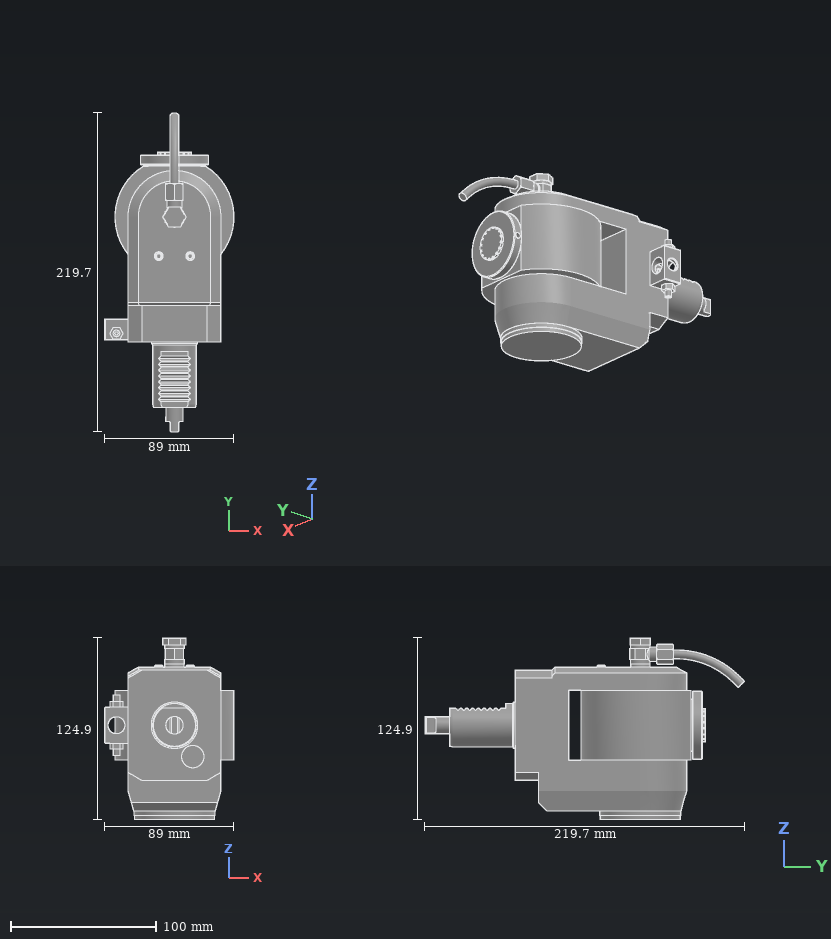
import cadquery as cq
import math


HALF_WIDTH = 32.0
SWIVEL_Y = 86.1
TOP_Z = 40.0
BOTTOM_Z = -59.0
TOP_CHAMFER_WIDTH = 7.1
TOP_CHAMFER_HEIGHT = 4.0
TAPER_Z = -45.3
TAPER_INSET = 3.9
FRONT_BOTTOM_CHAMFER = 5.8

FLANGE_HALF_HEIGHT = 38.0
FLANGE_CORNER_WIDTH = 9.6
FLANGE_CORNER_HEIGHT = 5.6
FLANGE_TOP_LENGTH = 25.3
FLANGE_STEP = 2.0
FLANGE_BOTTOM_LENGTH = 16.0
PLUG_X = 12.6
PLUG_Z = -21.6
PLUG_RADIUS = 7.7
PLUG_RECESS = 0.3

DRUM_RADIUS = 41.0
SLOT_HALF_HEIGHT = 24.0
SLOT_FRONT_Y = 37.0
DRUM_FLAT_Y = 121.1

NUT_NECK_RADIUS = 18.0
NUT_RADIUS = 23.5
NUT_FRONT_Y = 121.9
NUT_BACK_Y = 128.9
NUT_CHAMFER = 0.6
SPANNER_HOLE_Y = 125.6
SPANNER_HOLE_DIAMETER = 4.0
SPANNER_HOLE_DEPTH = 4.0
SPINDLE_RADIUS = 11.6
SPINDLE_BACK_Y = 130.8
SPINDLE_SLOT_COUNT = 16
SPINDLE_SLOT_WIDTH = 1.0

RING_RADIUS = 28.0
RING_STEP_Z = -62.0
RING_BOTTOM_Z = -65.0
RING_STEP = 0.4

COLLAR_RADIUS = 16.0
COLLAR_LENGTH = 1.8
COLLAR_CHAMFER = 0.8
SHANK_RADIUS = 15.0
SHANK_LENGTH = 45.0
SHANK_END_CHAMFER_LENGTH = 2.0
SHANK_END_CHAMFER_DEPTH = 0.5
FLAT_Z = 11.8
FLAT_START = 6.6
GROOVE_COUNT = 8
GROOVE_PITCH = 4.0
FIRST_GROOVE = 11.3
GROOVE_DEPTH = 1.6
DRIVE_RADIUS = 6.0
DRIVE_END = 61.9
TANG_START = 54.6
TANG_THICKNESS = 6.0
TANG_CHAMFER = 0.8
TANG_ROOT_FILLET = 1.0

BLOCK_OUTER_X = -48.0
BLOCK_FRONT_Y = 1.6
BLOCK_BACK_Y = 15.8
BLOCK_HALF_HEIGHT = 12.5
BLOCK_CHAMFER = 0.5
PORT_X = -39.9
PORT_RADIUS = 5.8
SIDE_HOLE_RADIUS = 4.2
SIDE_PASSAGE_RADIUS = 1.5
SIDE_HOLE_CHAMFER = 0.5
SIDE_HOLE_FLOOR_X = -33.0
STUD_Y = 6.0
STUD_RADIUS = 2.3
STUD_END_Z = 20.9
STUD_NUT_HEIGHT = 3.9
STUD_NUT_ACROSS_CORNERS = 9.2
STUD_SOCKET_ACROSS_CORNERS = 2.5
STUD_SOCKET_DEPTH = 2.0

SCREW_X = 10.8
SCREW_Y = 59.2
SCREW_RADIUS = 3.0
SCREW_HEIGHT = 1.4
SCREW_CHAMFER = 0.8
SCREW_SOCKET_ACROSS_CORNERS = 3.6
SCREW_SOCKET_DEPTH = 1.2

FITTING_RADIUS = 6.8
FITTING_FOOT_TOP_Z = 42.2
FITTING_FOOT_RADIUS = 6.7
HEX_BODY_BOTTOM_Z = 45.4
HEX_BODY_TOP_Z = 52.8
HEX_BODY_ACROSS_CORNERS = 14.7
FITTING_HEAD_Z = 55.2
FITTING_TOP_Z = 59.9
FITTING_HEAD_ACROSS_CORNERS = 14.0 / math.cos(math.pi / 6)
PIPE_Z = 48.8
CONNECTOR_ROOT_RADIUS = 4.6
CONNECTOR_RADIUS = 5.1
CONNECTOR_START_Y = 92.2
PIPE_NUT_START_Y = 97.3
PIPE_NUT_END_Y = 109.0
PIPE_NUT_ACROSS_CORNERS = 12.0 / math.cos(math.pi / 6)
PIPE_NUT_CHAMFER = 0.6
PIPE_RADIUS = 3.1
PIPE_STRAIGHT_END_Y = 110.9
PIPE_BEND_RADIUS = 58.0
PIPE_BEND_ANGLE = 45.0
PIPE_TIP_LENGTH = 5.2


def box(x0, x1, y0, y1, z0, z1):
    return cq.Workplane("XY").box(x1 - x0, y1 - y0, z1 - z0, centered=False).translate((x0, y0, z0))


def cylinder_z(x, y, radius, z0, z1):
    return cq.Workplane("XY", origin=(x, y, z0)).circle(radius).extrude(z1 - z0)


def cylinder_y(x, z, radius, y0, y1):
    """Cylinder along Y; the XZ workplane normal points toward -Y."""
    return cq.Workplane("XZ", origin=(x, y0, z)).circle(radius).extrude(y0 - y1)


def cylinder_x(y, z, radius, x0, x1):
    return cq.Workplane("YZ", origin=(x0, y, z)).circle(radius).extrude(x1 - x0)


def hexagon_z(x, y, across_corners, z0, z1, turn=0):
    """Hexagonal prism along Z; corners lie on the X direction unless turned."""
    prism = cq.Workplane("XY").polygon(6, across_corners).extrude(z1 - z0)
    return prism.rotate((0, 0, 0), (0, 0, 1), turn).translate((x, y, z0))


def u_outline(front_y, z):
    """Flat front, straight sides and a half-round back about the swivel axis."""
    return (
        cq.Workplane("XY", origin=(0, 0, z))
        .moveTo(-HALF_WIDTH, front_y)
        .lineTo(HALF_WIDTH, front_y)
        .lineTo(HALF_WIDTH, SWIVEL_Y)
        .threePointArc((0, SWIVEL_Y + HALF_WIDTH), (-HALF_WIDTH, SWIVEL_Y))
        .close()
    )


def chamfered_top_section(y, top_z, corner_width, corner_height):
    """Upper half of a housing cross-section, with both top corners cut."""
    flat_half = HALF_WIDTH - corner_width
    side_z = top_z - corner_height
    return [
        cq.Vector(-HALF_WIDTH, y, 0),
        cq.Vector(HALF_WIDTH, y, 0),
        cq.Vector(HALF_WIDTH, y, side_z),
        cq.Vector(flat_half, y, top_z),
        cq.Vector(-flat_half, y, top_z),
        cq.Vector(-HALF_WIDTH, y, side_z),
    ]


def make_flange():
    flat_half = HALF_WIDTH - FLANGE_CORNER_WIDTH
    side_z = FLANGE_HALF_HEIGHT - FLANGE_CORNER_HEIGHT
    octagon = [
        (-flat_half, -FLANGE_HALF_HEIGHT),
        (flat_half, -FLANGE_HALF_HEIGHT),
        (HALF_WIDTH, -side_z),
        (HALF_WIDTH, side_z),
        (flat_half, FLANGE_HALF_HEIGHT),
        (-flat_half, FLANGE_HALF_HEIGHT),
        (-HALF_WIDTH, side_z),
        (-HALF_WIDTH, -side_z),
    ]
    flange = cq.Workplane("XZ").polyline(octagon).close().extrude(-FLANGE_TOP_LENGTH)
    return flange.cut(cylinder_y(PLUG_X, PLUG_Z, PLUG_RADIUS, 0, PLUG_RECESS))


def make_flange_transition():
    """Bevel of equal depth on the front edges of the taller housing outline."""
    slope = math.atan2(TOP_CHAMFER_HEIGHT, TOP_CHAMFER_WIDTH)
    start_corner_height = TOP_CHAMFER_HEIGHT + FLANGE_STEP / math.cos(slope) - FLANGE_STEP
    start_corner_width = start_corner_height / math.tan(slope)
    sections = [
        chamfered_top_section(
            FLANGE_TOP_LENGTH, TOP_Z - FLANGE_STEP, start_corner_width, start_corner_height
        ),
        chamfered_top_section(
            FLANGE_TOP_LENGTH + FLANGE_STEP, TOP_Z, TOP_CHAMFER_WIDTH, TOP_CHAMFER_HEIGHT
        ),
    ]
    wires = [cq.Wire.makePolygon(points, close=True) for points in sections]
    return cq.Workplane("XY").add(cq.Solid.makeLoft(wires, True))


def make_housing_top():
    front_y = FLANGE_TOP_LENGTH + FLANGE_STEP
    side_z = TOP_Z - TOP_CHAMFER_HEIGHT
    taper = math.degrees(math.atan2(TOP_CHAMFER_WIDTH, TOP_CHAMFER_HEIGHT))
    setback = TOP_CHAMFER_WIDTH
    lower = u_outline(front_y, 0).extrude(side_z)
    upper = u_outline(front_y - setback, side_z).extrude(TOP_CHAMFER_HEIGHT, taper=taper)
    keep = box(-HALF_WIDTH, HALF_WIDTH, front_y, SWIVEL_Y + HALF_WIDTH, side_z, TOP_Z)
    return lower.union(upper.intersect(keep))


def make_housing_bottom():
    front_y = FLANGE_BOTTOM_LENGTH
    depth = TAPER_Z - BOTTOM_Z
    taper = math.degrees(math.atan2(TAPER_INSET, depth))
    straight = u_outline(front_y, TAPER_Z).extrude(-TAPER_Z)
    tapered = u_outline(front_y - TAPER_INSET, TAPER_Z).extrude(-depth, taper=taper)
    keep = box(-HALF_WIDTH, HALF_WIDTH, front_y, SWIVEL_Y + HALF_WIDTH, BOTTOM_Z, TAPER_Z)
    front_corner = (
        cq.Workplane("YZ", origin=(-HALF_WIDTH, 0, 0))
        .moveTo(front_y, BOTTOM_Z)
        .lineTo(front_y + FRONT_BOTTOM_CHAMFER, BOTTOM_Z)
        .lineTo(front_y, BOTTOM_Z + FRONT_BOTTOM_CHAMFER)
        .close()
        .extrude(2 * HALF_WIDTH)
    )
    return straight.union(tapered.intersect(keep)).cut(front_corner)


def make_housing():
    housing = make_flange().union(make_flange_transition())
    housing = housing.union(make_housing_top()).union(make_housing_bottom())
    slot = box(
        -HALF_WIDTH, HALF_WIDTH,
        SLOT_FRONT_Y, SWIVEL_Y + HALF_WIDTH,
        -SLOT_HALF_HEIGHT, SLOT_HALF_HEIGHT,
    )
    return housing.cut(slot)


def make_drum():
    drum = cylinder_z(0, SWIVEL_Y, DRUM_RADIUS, -SLOT_HALF_HEIGHT, SLOT_HALF_HEIGHT)
    keep = box(
        -DRUM_RADIUS, DRUM_RADIUS,
        SWIVEL_Y - DRUM_RADIUS, DRUM_FLAT_Y,
        -SLOT_HALF_HEIGHT, SLOT_HALF_HEIGHT,
    )
    return drum.intersect(keep)


def make_spindle_nut():
    neck = cylinder_y(0, 0, NUT_NECK_RADIUS, DRUM_FLAT_Y, NUT_FRONT_Y)
    nut = cylinder_y(0, 0, NUT_RADIUS, NUT_FRONT_Y, NUT_BACK_Y).edges().chamfer(NUT_CHAMFER)
    spanner_hole = cylinder_x(
        SPANNER_HOLE_Y, 0, SPANNER_HOLE_DIAMETER / 2, -NUT_RADIUS, -NUT_RADIUS + SPANNER_HOLE_DEPTH
    )
    spindle = cylinder_y(0, 0, SPINDLE_RADIUS, NUT_BACK_Y, SPINDLE_BACK_Y)
    for index in range(SPINDLE_SLOT_COUNT):
        slot = box(
            SPINDLE_RADIUS - SPINDLE_SLOT_WIDTH, SPINDLE_RADIUS,
            NUT_BACK_Y, SPINDLE_BACK_Y,
            -SPINDLE_SLOT_WIDTH / 2, SPINDLE_SLOT_WIDTH / 2,
        )
        angle = (index + 0.5) * 360 / SPINDLE_SLOT_COUNT
        spindle = spindle.cut(slot.rotate((0, 0, 0), (0, 1, 0), angle))
    return neck.union(nut.cut(spanner_hole)).union(spindle)


def make_seat_ring():
    upper = cylinder_z(0, SWIVEL_Y, RING_RADIUS, RING_STEP_Z, BOTTOM_Z)
    lower = cylinder_z(0, SWIVEL_Y, RING_RADIUS - RING_STEP, RING_BOTTOM_Z, RING_STEP_Z)
    return upper.union(lower)


def make_shank():
    profile = [
        (0, 0),
        (COLLAR_RADIUS, 0),
        (COLLAR_RADIUS, -(COLLAR_LENGTH - COLLAR_CHAMFER)),
        (SHANK_RADIUS, -COLLAR_LENGTH),
        (SHANK_RADIUS, -(SHANK_LENGTH - SHANK_END_CHAMFER_LENGTH)),
        (SHANK_RADIUS - SHANK_END_CHAMFER_DEPTH, -SHANK_LENGTH),
        (0, -SHANK_LENGTH),
    ]
    shank = cq.Workplane("XY").polyline(profile).close().revolve(360, (0, 0, 0), (0, 1, 0))
    shank = shank.cut(box(-SHANK_RADIUS, SHANK_RADIUS, -SHANK_LENGTH, -FLAT_START, FLAT_Z, SHANK_RADIUS))
    for index in range(GROOVE_COUNT):
        groove_y = -(FIRST_GROOVE + index * GROOVE_PITCH)
        groove = (
            cq.Workplane("YZ", origin=(-SHANK_RADIUS, 0, 0))
            .moveTo(groove_y - GROOVE_DEPTH, FLAT_Z)
            .lineTo(groove_y, FLAT_Z - GROOVE_DEPTH)
            .lineTo(groove_y + GROOVE_DEPTH, FLAT_Z)
            .close()
            .extrude(2 * SHANK_RADIUS)
        )
        shank = shank.cut(groove)
    return shank


def make_drive_tang():
    drive = cylinder_y(0, 0, DRIVE_RADIUS, -TANG_START, -SHANK_LENGTH)
    tang = cylinder_y(0, 0, DRIVE_RADIUS, -DRIVE_END, -TANG_START)
    half = TANG_THICKNESS / 2
    blade = box(-half, half, -DRIVE_END, -TANG_START, -DRIVE_RADIUS, DRIVE_RADIUS)
    blade = blade.faces("<Y").edges("|Z").chamfer(TANG_CHAMFER)
    drive = drive.union(tang.intersect(blade))
    for side in (-1, 1):
        root_edge = cq.selectors.NearestToPointSelector((side * half, -TANG_START, 0))
        drive = drive.edges(root_edge).fillet(TANG_ROOT_FILLET)
    return drive


def make_coolant_block():
    block = box(
        BLOCK_OUTER_X, -HALF_WIDTH,
        BLOCK_FRONT_Y, BLOCK_BACK_Y,
        -BLOCK_HALF_HEIGHT, BLOCK_HALF_HEIGHT,
    )
    block = block.faces("<X").edges("|Y").chamfer(BLOCK_CHAMFER)
    for side in (1, -1):
        nut_z = BLOCK_HALF_HEIGHT + STUD_NUT_HEIGHT
        nut = hexagon_z(PORT_X, STUD_Y, STUD_NUT_ACROSS_CORNERS, BLOCK_HALF_HEIGHT, nut_z)
        stud = cylinder_z(PORT_X, STUD_Y, STUD_RADIUS, nut_z, STUD_END_Z)
        socket = hexagon_z(
            PORT_X, STUD_Y, STUD_SOCKET_ACROSS_CORNERS, STUD_END_Z - STUD_SOCKET_DEPTH, STUD_END_Z
        )
        plug = nut.union(stud).cut(socket)
        if side < 0:
            plug = plug.mirror("XY")
        block = block.union(plug)
    middle_y = (BLOCK_FRONT_Y + BLOCK_BACK_Y) / 2
    port = cylinder_y(PORT_X, 0, PORT_RADIUS, BLOCK_FRONT_Y, BLOCK_BACK_Y)
    side_hole = cylinder_x(middle_y, 0, SIDE_HOLE_RADIUS, BLOCK_OUTER_X, SIDE_HOLE_FLOOR_X)
    passage = cylinder_x(middle_y, 0, SIDE_PASSAGE_RADIUS, SIDE_HOLE_FLOOR_X, -HALF_WIDTH)
    mouth = (
        cq.Workplane("YZ", origin=(BLOCK_OUTER_X, middle_y, 0))
        .circle(SIDE_HOLE_RADIUS + SIDE_HOLE_CHAMFER)
        .workplane(offset=SIDE_HOLE_CHAMFER)
        .circle(SIDE_HOLE_RADIUS)
        .loft()
    )
    block = block.cut(mouth)
    return block.cut(port).cut(side_hole).cut(passage)


def make_screw(x):
    head_z = TOP_Z + SCREW_HEIGHT
    head = cylinder_z(x, SCREW_Y, SCREW_RADIUS, TOP_Z, head_z).faces(">Z").edges().chamfer(SCREW_CHAMFER)
    socket = hexagon_z(x, SCREW_Y, SCREW_SOCKET_ACROSS_CORNERS, head_z - SCREW_SOCKET_DEPTH, head_z)
    return head.cut(socket)


def make_fitting():
    foot = cylinder_z(0, SWIVEL_Y, FITTING_FOOT_RADIUS, TOP_Z, FITTING_FOOT_TOP_Z)
    lower_ring = cylinder_z(0, SWIVEL_Y, FITTING_RADIUS, FITTING_FOOT_TOP_Z, HEX_BODY_BOTTOM_Z)
    upper_ring = cylinder_z(0, SWIVEL_Y, FITTING_RADIUS, HEX_BODY_TOP_Z, FITTING_HEAD_Z)
    hex_body = hexagon_z(
        0, SWIVEL_Y, HEX_BODY_ACROSS_CORNERS, HEX_BODY_BOTTOM_Z, HEX_BODY_TOP_Z, turn=30
    )
    head = hexagon_z(0, SWIVEL_Y, FITTING_HEAD_ACROSS_CORNERS, FITTING_HEAD_Z, FITTING_TOP_Z)
    root = cylinder_y(0, PIPE_Z, CONNECTOR_ROOT_RADIUS, SWIVEL_Y, CONNECTOR_START_Y)
    connector = cylinder_y(0, PIPE_Z, CONNECTOR_RADIUS, CONNECTOR_START_Y, PIPE_NUT_START_Y)
    fitting = foot
    for piece in (lower_ring, hex_body, upper_ring, head, root, connector):
        fitting = fitting.union(piece)
    return fitting


def make_pipe_nut():
    """Hexagonal union nut along Y, corners up and down, both ends turned conical."""
    length = PIPE_NUT_END_Y - PIPE_NUT_START_Y
    prism = cq.Workplane("XY").polygon(6, PIPE_NUT_ACROSS_CORNERS).extrude(length)
    turned = cq.Workplane("XY").circle(PIPE_NUT_ACROSS_CORNERS / 2).extrude(length)
    nut = prism.intersect(turned.edges().chamfer(PIPE_NUT_CHAMFER))
    nut = nut.rotate((0, 0, 0), (0, 0, 1), 90).rotate((0, 0, 0), (1, 0, 0), -90)
    return nut.translate((0, PIPE_NUT_START_Y, PIPE_Z))


def make_pipe():
    def bend_point(angle_degrees):
        angle = math.radians(angle_degrees)
        y = PIPE_STRAIGHT_END_Y + PIPE_BEND_RADIUS * math.sin(angle)
        z = PIPE_Z - PIPE_BEND_RADIUS * (1 - math.cos(angle))
        return y, z

    bend_end = bend_point(PIPE_BEND_ANGLE)
    end_direction = math.radians(PIPE_BEND_ANGLE)
    tip = (
        bend_end[0] + PIPE_TIP_LENGTH * math.cos(end_direction),
        bend_end[1] - PIPE_TIP_LENGTH * math.sin(end_direction),
    )
    path = (
        cq.Workplane("YZ")
        .moveTo(PIPE_NUT_END_Y, PIPE_Z)
        .lineTo(PIPE_STRAIGHT_END_Y, PIPE_Z)
        .threePointArc(bend_point(PIPE_BEND_ANGLE / 2), bend_end)
        .lineTo(*tip)
    )
    return cq.Workplane("XZ", origin=(0, PIPE_NUT_END_Y, PIPE_Z)).circle(PIPE_RADIUS).sweep(path)


components = [
    make_drum(),
    make_spindle_nut(),
    make_seat_ring(),
    make_shank(),
    make_drive_tang(),
    make_coolant_block(),
    make_screw(-SCREW_X),
    make_screw(SCREW_X),
    make_fitting(),
    make_pipe_nut(),
    make_pipe(),
]
result = make_housing()
for component in components:
    result = result.union(component)